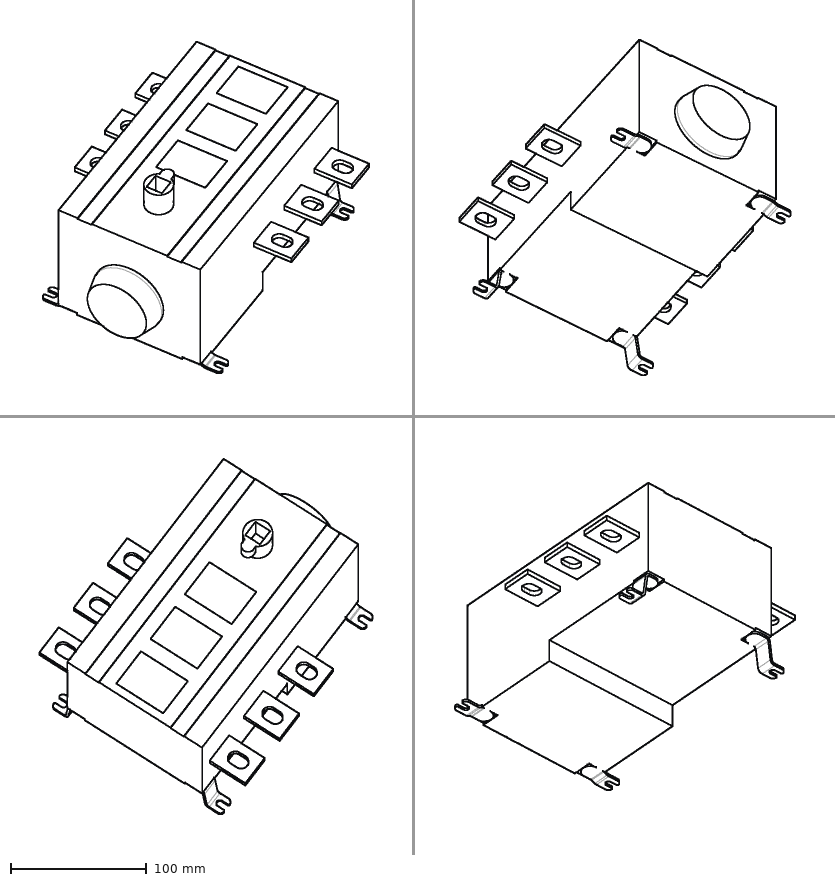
import cadquery as cq
import math


overall_length = 219.2
overall_width = 185.0
overall_height = 125.0

cap_length = 18.2
cap_rim_length = 3.0
cap_base_radius = 29.2
cap_tip_radius = 25.2
cap_center_z = 45.2

sheet = 2.0
bracket_width = 13.8
bracket_inset = 2.2
foot_tip_x = 76.5
foot_bend_x = 63.5
front_leg_run = 4.4
rear_leg_run = 2.8
base_end_x = 45.2
inner_bend_radius = 2.0
outer_bend_radius = inner_bend_radius + sheet
foot_slot_width = 5.3
foot_slot_end_x = 67.5
tine_outer_radius = 3.3
tine_inner_radius = 0.9

housing_length = overall_length - cap_length
housing_width = 121.0
housing_bottom = sheet
housing_top = 104.3
step_y = 91.2
step_bottom = 21.3
recess_end_x = 45.0
recess_length = bracket_inset + bracket_width

groove_inner_x = 32.2
groove_outer_x = 44.3
groove_depth = 0.9

pole_count = 3
pole_pitch = 44.0
last_pole_y = 178.6
window_width = 42.0
window_length = 31.8
window_depth = 0.2
tab_width = 25.0
tab_bottom = 59.6
tab_thickness = 4.2
tab_slot_length = 16.2
tab_slot_width = 11.0
tab_slot_x = 77.4

shaft_y = 42.7
shaft_radius = 11.0
socket_side = 13.2
key_center_y = 55.2
key_radius = 5.0
key_height = 10.0


def box(x_range, y_range, z_range):
    """Axis-aligned box between pairs of limits."""
    (x0, x1), (y0, y1), (z0, z1) = x_range, y_range, z_range
    return cq.Workplane("XY").box(x1 - x0, y1 - y0, z1 - z0, centered=False).translate((x0, y0, z0))


def both_sides(solid):
    """A solid together with its mirror image across X = 0."""
    return solid.union(solid.mirror("YZ"))


def housing():
    """Block with a raised rear underside, bracket recesses and top grooves."""
    half_width = housing_width / 2
    body = (
        cq.Workplane("YZ")
        .polyline([
            (0, housing_bottom),
            (step_y, housing_bottom),
            (step_y, step_bottom),
            (housing_length, step_bottom),
            (housing_length, housing_top),
            (0, housing_top),
        ])
        .close()
        .extrude(half_width, both=True)
    )
    recess_x = (recess_end_x, half_width)
    front_recess = box(recess_x, (0, recess_length), (housing_bottom, housing_bottom + sheet))
    rear_recess = box(
        recess_x, (housing_length - recess_length, housing_length), (step_bottom, step_bottom + sheet)
    )
    groove = box(
        (groove_inner_x, groove_outer_x), (0, housing_length), (housing_top - groove_depth, housing_top)
    )
    for pocket in (front_recess, rear_recess, groove):
        body = body.cut(both_sides(pocket))
    return body


def window(pole_y):
    """Shallow rectangular pocket in the top face."""
    return (
        cq.Workplane("XY", origin=(0, pole_y, housing_top - window_depth))
        .rect(window_width, window_length)
        .extrude(window_depth)
    )


def terminal_tabs(pole_y):
    """Pair of flat tabs, each with a slotted hole."""
    root_x = housing_width / 2
    tab = box(
        (root_x, overall_width / 2),
        (pole_y - tab_width / 2, pole_y + tab_width / 2),
        (tab_bottom, tab_bottom + tab_thickness),
    )
    slot = (
        cq.Workplane("XY", origin=(tab_slot_x, pole_y, tab_bottom))
        .slot2D(tab_slot_length, tab_slot_width)
        .extrude(tab_thickness)
    )
    return both_sides(tab.cut(slot))


def brackets(center_y, rise, leg_run):
    """Pair of folded brackets: slotted foot, sloping leg, round-ended base `rise` above the foot."""
    half_width = bracket_width / 2
    bend_angle = math.atan2(rise, leg_run)
    bend_shift = sheet * math.tan(bend_angle / 2)
    base_bend_x = foot_bend_x - leg_run

    foot_top_bend = (foot_bend_x, sheet)
    foot_bottom_bend = (foot_bend_x - bend_shift, 0)
    base_top_bend = (base_bend_x, rise + sheet)
    base_bottom_bend = (base_bend_x - bend_shift, rise)
    bracket = (
        cq.Workplane("XZ")
        .polyline([
            (foot_tip_x, 0),
            (foot_tip_x, sheet),
            foot_top_bend,
            base_top_bend,
            (base_end_x, rise + sheet),
            (base_end_x, rise),
            base_bottom_bend,
            foot_bottom_bend,
        ])
        .close()
        .extrude(half_width, both=True)
    )
    bends = [
        (foot_top_bend, inner_bend_radius),
        (base_bottom_bend, inner_bend_radius),
        (base_top_bend, outer_bend_radius),
        (foot_bottom_bend, outer_bend_radius),
    ]
    for (x, z), radius in bends:
        bracket = bracket.edges(cq.NearestToPointSelector((x, 0, z))).fillet(radius)

    slot_radius = foot_slot_width / 2
    plan = (
        cq.Workplane("XY")
        .moveTo(foot_tip_x, half_width)
        .lineTo(base_end_x + half_width, half_width)
        .threePointArc((base_end_x, 0), (base_end_x + half_width, -half_width))
        .lineTo(foot_tip_x, -half_width)
        .lineTo(foot_tip_x, -slot_radius)
        .lineTo(foot_slot_end_x + slot_radius, -slot_radius)
        .threePointArc((foot_slot_end_x, 0), (foot_slot_end_x + slot_radius, slot_radius))
        .lineTo(foot_tip_x, slot_radius)
        .close()
        .extrude(rise + sheet)
    )
    for side in (-1, 1):
        for y, radius in ((half_width, tine_outer_radius), (slot_radius, tine_inner_radius)):
            tip = cq.NearestToPointSelector((foot_tip_x, side * y, (rise + sheet) / 2))
            plan = plan.edges(tip).fillet(radius)
    return both_sides(bracket.intersect(plan).translate((0, center_y, 0)))


def shaft():
    """Round shaft with a square socket along its height and a key lobe at its top."""
    height = overall_height - housing_top
    post = cq.Workplane("XY", origin=(0, shaft_y, housing_top)).circle(shaft_radius).extrude(height)
    key_bottom = overall_height - key_height
    lobe = cq.Workplane("XY", origin=(0, key_center_y, key_bottom)).circle(key_radius).extrude(key_height)
    web = box((-key_radius, key_radius), (shaft_y, key_center_y), (key_bottom, overall_height))
    socket = (
        cq.Workplane("XY", origin=(0, shaft_y, housing_top))
        .rect(socket_side, socket_side)
        .extrude(height)
    )
    return post.union(lobe).union(web).cut(socket)


def cap():
    """Short cylindrical rim followed by a taper, turned about a Y-directed axis."""
    return (
        cq.Workplane("XY")
        .polyline([
            (0, 0),
            (cap_base_radius, 0),
            (cap_base_radius, -cap_rim_length),
            (cap_tip_radius, -cap_length),
            (0, -cap_length),
        ])
        .close()
        .revolve(360, (0, 0, 0), (0, 1, 0))
        .translate((0, 0, cap_center_z))
    )


result = housing()
for pole in range(pole_count):
    pole_y = last_pole_y - pole * pole_pitch
    result = result.cut(window(pole_y)).union(terminal_tabs(pole_y))

bracket_center = bracket_inset + bracket_width / 2
result = result.union(brackets(bracket_center, housing_bottom, front_leg_run))
result = result.union(brackets(housing_length - bracket_center, step_bottom, rear_leg_run))
result = result.union(shaft()).union(cap())